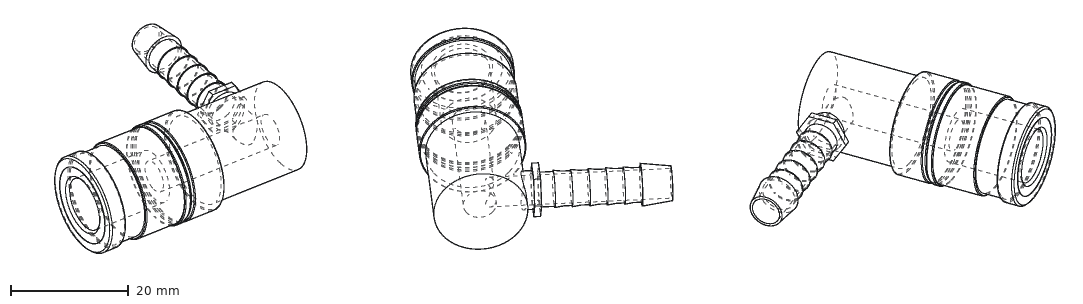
import cadquery as cq
import math

body_length = 40.5
barrel_radius = 8.02
collar_diameter = 18.2
collar_radius = collar_diameter / 2
sleeve_radius = 8.78
neck_radius = 8.27
collar_start = 17.47
collar_end = 23.6
groove_bottom = 24.02
ring_start = 24.5
ring_end = 25.5
sleeve_end = 33.25
flange_start = 37.4
edge_break = 0.15
end_chamfer = 0.35

seat_radius = 6.95
seat_depth = 0.1
bore_radius = 4.7
bore_mouth_radius = 5.2
bore_depth = 14.7
passage_radius = 2.8
rear_wall = 2.1

overall_length = 42.0
tip_x = collar_radius - overall_length
tail_y = -5.38
tail_radius = 3.0
tail_bore_radius = 2.5
tip_barb_length = 5.15
tip_barb_radius = 3.65
barb_count = 5
barb_start = 6.65
barb_pitch = 3.0
barb_length = 1.45
barb_radius = 3.2
hex_start = 22.45
hex_thickness = 1.18
hex_across_flats = 8.0
hex_across_corners = hex_across_flats / math.cos(math.pi / 6)
shoulder_radius = 3.3


def revolve_about_y(points):
    """Turn an outline of (radius, distance from the rear face) about the Y axis."""
    outline = [(radius, -distance) for radius, distance in points]
    return cq.Workplane("XY").polyline(outline).close().revolve(360, (0, 0), (0, 1))


def make_body():
    return revolve_about_y([
        (0, 0),
        (barrel_radius, 0),
        (barrel_radius, collar_start),
        (collar_radius - edge_break, collar_start),
        (collar_radius, collar_start + edge_break),
        (collar_radius, collar_end - edge_break),
        (collar_radius - edge_break, collar_end),
        (sleeve_radius, groove_bottom),
        (collar_radius - edge_break, ring_start - edge_break),
        (collar_radius, ring_start),
        (collar_radius, ring_end - edge_break),
        (collar_radius - edge_break, ring_end),
        (sleeve_radius, ring_end),
        (sleeve_radius, sleeve_end - edge_break),
        (sleeve_radius - edge_break, sleeve_end),
        (neck_radius, sleeve_end),
        (neck_radius, flange_start),
        (sleeve_radius - edge_break, flange_start),
        (sleeve_radius, flange_start + edge_break),
        (sleeve_radius, body_length - end_chamfer),
        (sleeve_radius - end_chamfer, body_length),
        (0, body_length),
    ])


def make_body_passage():
    seat_floor = body_length - seat_depth
    bore_floor = body_length - bore_depth
    mouth_chamfer = bore_mouth_radius - bore_radius
    return revolve_about_y([
        (0, rear_wall),
        (passage_radius, rear_wall),
        (passage_radius, bore_floor),
        (bore_radius, bore_floor),
        (bore_radius, seat_floor - mouth_chamfer),
        (bore_mouth_radius, seat_floor),
        (seat_radius, seat_floor),
        (seat_radius, body_length),
        (0, body_length),
    ])


def make_hose_tail():
    """Solid hose tail, reaching from its tip to the body axis."""
    hex_end = hex_start + hex_thickness
    points = [
        (0, 0),
        (0, tail_radius),
        (tip_barb_length, tip_barb_radius),
        (tip_barb_length, tail_radius),
    ]
    for index in range(barb_count):
        start = barb_start + index * barb_pitch
        end = start + barb_length
        points += [(start, tail_radius), (end, barb_radius), (end, tail_radius)]
    points += [
        (hex_end, tail_radius),
        (hex_end, shoulder_radius),
        (-tip_x, shoulder_radius),
        (-tip_x, 0),
    ]
    stem = (
        cq.Workplane("XY", origin=(tip_x, tail_y, 0))
        .polyline(points)
        .close()
        .revolve(360, (0, 0), (1, 0))
    )
    nut = (
        cq.Workplane("YZ", origin=(tip_x + hex_start, tail_y, 0))
        .polygon(6, hex_across_corners)
        .extrude(hex_thickness)
    )
    return stem.union(nut)


def make_tail_bore():
    """Bore from the hose tip to the body axis."""
    return (
        cq.Workplane("YZ", origin=(tip_x, tail_y, 0))
        .circle(tail_bore_radius)
        .extrude(-tip_x)
    )


result = make_body().union(make_hose_tail()).cut(make_body_passage()).cut(make_tail_bore())